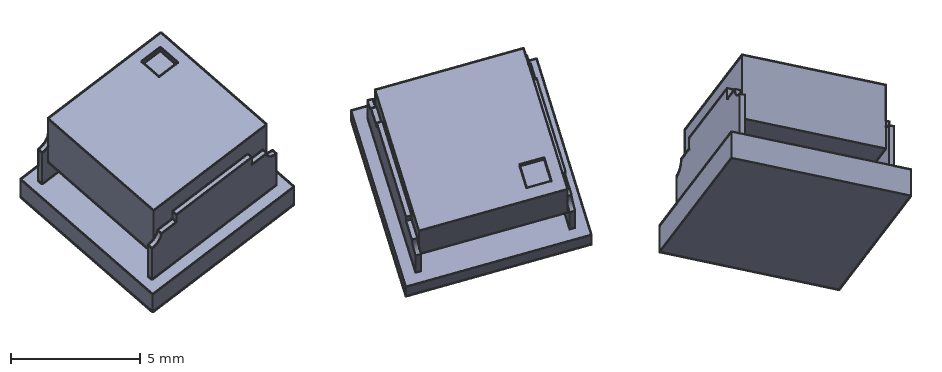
import cadquery as cq

base_side = 7.5
base_height = 1.2

block_side = 6.0
block_bottom = 2.4
block_top = 5.3

marker_side = 1.0
marker_offset = 2.0
marker_depth = 0.25

plate_thickness = 0.225
plate_width = 6.6
plate_top = 4.3
tab_width = 4.0
shoulder_height = 3.8
corner_radius = 0.5


def make_plate(inner_x):
    """Stepped plate with concave upper corners, extruded toward +X from inner_x."""
    half_width = plate_width / 2
    half_shoulder = half_width - corner_radius
    half_tab = tab_width / 2
    corner_bottom = shoulder_height - corner_radius
    arc_reach = corner_radius * 0.5**0.5
    arc_y = half_width - arc_reach
    arc_z = shoulder_height - arc_reach
    return (
        cq.Workplane("YZ", origin=(inner_x, 0, 0))
        .moveTo(-half_width, base_height)
        .lineTo(half_width, base_height)
        .lineTo(half_width, corner_bottom)
        .threePointArc((arc_y, arc_z), (half_shoulder, shoulder_height))
        .lineTo(half_tab, shoulder_height)
        .lineTo(half_tab, plate_top)
        .lineTo(-half_tab, plate_top)
        .lineTo(-half_tab, shoulder_height)
        .lineTo(-half_shoulder, shoulder_height)
        .threePointArc((-arc_y, arc_z), (-half_width, corner_bottom))
        .close()
        .extrude(plate_thickness)
    )


def make_cradle():
    """Base slab with a plate rising on each side of the block."""
    cradle = cq.Workplane("XY").box(base_side, base_side, base_height, centered=(True, True, False))
    for plate_start in (-block_side / 2 - plate_thickness, block_side / 2):
        cradle = cradle.union(make_plate(plate_start))
    return cradle


def make_block():
    """Plain block with a square marker recess near its -X, +Y corner."""
    block = (
        cq.Workplane("XY", origin=(0, 0, block_bottom))
        .rect(block_side, block_side)
        .extrude(block_top - block_bottom)
    )
    marker = (
        cq.Workplane("XY", origin=(-marker_offset, marker_offset, block_top))
        .rect(marker_side, marker_side)
        .extrude(-marker_depth)
    )
    return block.cut(marker)


cradle = make_cradle()
block = make_block()

result = cq.Compound.makeCompound([cradle.val(), block.val()])